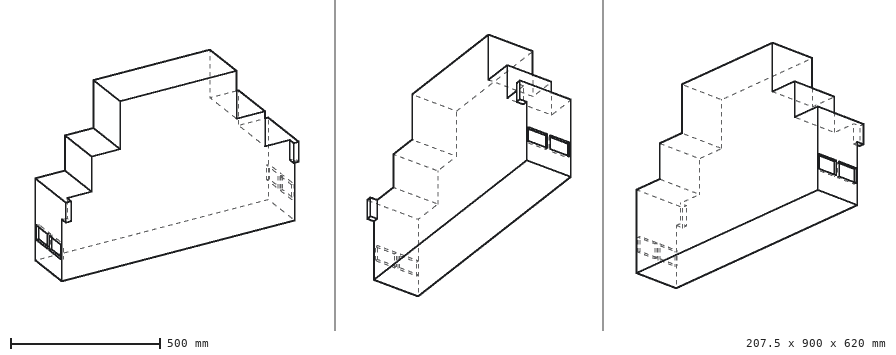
import cadquery as cq

body_width = 180.0
base_length = 900.0
base_height = 308.0
middle_length = 670.0
middle_top = 440.0
tower_length = 450.0
total_height = 620.0

ear_projection = 27.5
ear_thickness = 20.0
ear_height = 75.0

pocket_count = 2
pocket_width = 77.0
pocket_height = 55.0
pocket_depth = 10.0
pocket_bottom = 80.0
pocket_pitch = body_width / pocket_count
first_pocket_x = pocket_pitch / 2

END_SIDES = (-1, 1)


def block(length, top):
    """Full-width block standing on Z = 0 and centred on Y = 0."""
    return cq.Workplane("XY").box(body_width, length, top, centered=(False, True, False))


def make_body():
    base = block(base_length, base_height)
    middle = block(middle_length, middle_top)
    tower = block(tower_length, total_height)
    return base.union(middle).union(tower)


def make_ear(side):
    """Ear flush with the top and the end face of the base."""
    center_y = side * (base_length - ear_thickness) / 2
    return (
        cq.Workplane("XY")
        .box(body_width + ear_projection, ear_thickness, ear_height, centered=(False, True, False))
        .translate((0, center_y, base_height - ear_height))
    )


def make_pocket(side, index):
    """Cutter for one pocket, centred in its share of the body width."""
    center_x = first_pocket_x + index * pocket_pitch
    center_y = side * (base_length - pocket_depth) / 2
    return (
        cq.Workplane("XY")
        .box(pocket_width, pocket_depth, pocket_height, centered=(True, True, False))
        .translate((center_x, center_y, pocket_bottom))
    )


result = make_body()
for end_side in END_SIDES:
    result = result.union(make_ear(end_side))
    for pocket_index in range(pocket_count):
        result = result.cut(make_pocket(end_side, pocket_index))